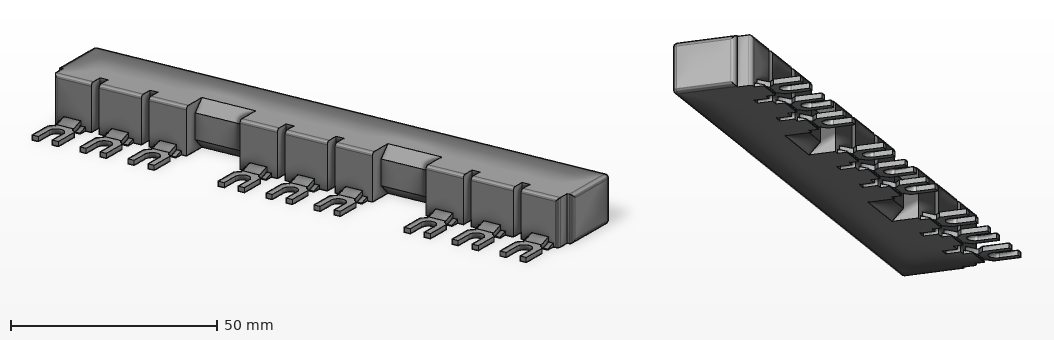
import cadquery as cq


BAR_LENGTH = 149.5
BAR_HEIGHT = 13.0
BODY_FRONT = 3.9
BODY_BACK = 20.3
EDGE_FILLET = 1.0

GROUP_COUNT = 3
GROUP_PITCH = 54.0
PADS_START = 1.5
GROUP_LENGTH = 38.4
SLOT_WIDTH = 2.2
MIDDLE_PAD_WIDTH = 12.3
PAD_FILLET = 0.9
RECESS_BEVEL = 3.0

TERMINAL_PITCH = 13.9
TERMINAL_LENGTH = 12.0
TERMINAL_WIDTH = 7.6
TERMINAL_THICKNESS = 1.3
NECK_WIDTH = 5.0
TONGUE_LENGTH = 3.1
TONGUE_RISE = 1.0
NECK_END = 3.6
FORK_SLOT_WIDTH = 4.0
FORK_SLOT_TOP = 5.1

RAMP_LENGTH = 2.4

group_starts = [PADS_START + i * GROUP_PITCH for i in range(GROUP_COUNT)]
outer_pad_width = (GROUP_LENGTH - MIDDLE_PAD_WIDTH) / 2 - SLOT_WIDTH
pads_end = group_starts[-1] + GROUP_LENGTH
terminal_centers = [
    start + GROUP_LENGTH / 2 + place * TERMINAL_PITCH
    for start in group_starts
    for place in (-1, 0, 1)
]


def box_between(x_range, y_range, z_range):
    """Box given by its lower and upper limits along each axis."""
    (x0, x1), (y0, y1), (z0, z1) = x_range, y_range, z_range
    return cq.Workplane("XY").box(x1 - x0, y1 - y0, z1 - z0, centered=False).translate((x0, y0, z0))


def side_profile(points, x_start, width):
    """Prism along +X from a closed outline of (y, z) points."""
    return cq.Workplane("YZ").polyline(points).close().extrude(width).translate((x_start, 0, 0))


def make_body():
    """Long bar with rounded edges around both ends and along the back."""
    body = box_between((0, BAR_LENGTH), (BODY_FRONT, BODY_BACK), (0, BAR_HEIGHT))
    return body.faces("<X or >X or >Y").edges().fillet(EDGE_FILLET)


def make_pad_strip():
    """Front strip of pads, rounded along the top front edge and down the two front corners."""
    strip = box_between((PADS_START, pads_end), (0, BODY_FRONT + EDGE_FILLET), (0, BAR_HEIGHT))
    front_edges = strip.faces("<Y").edges(">Z or <X or >X")
    return front_edges.fillet(PAD_FILLET)


def make_pad_slots():
    """Cutters for the two slots in each group of pads."""
    slots = cq.Workplane("XY")
    for start in group_starts:
        first = start + outer_pad_width
        for left in (first, first + SLOT_WIDTH + MIDDLE_PAD_WIDTH):
            slots = slots.add(box_between((left, left + SLOT_WIDTH), (0, BODY_FRONT), (0, BAR_HEIGHT)))
    return slots.combine()


def make_group_recess(x_start):
    """Cutter between two groups that also bevels the body edges above and below."""
    bevel_back = BODY_FRONT + RECESS_BEVEL
    outline = [
        (0, 0),
        (bevel_back, 0),
        (BODY_FRONT, RECESS_BEVEL),
        (BODY_FRONT, BAR_HEIGHT - RECESS_BEVEL),
        (bevel_back, BAR_HEIGHT),
        (0, BAR_HEIGHT),
    ]
    return side_profile(outline, x_start, GROUP_PITCH - GROUP_LENGTH)


def make_ramp(x_center):
    """Wedge on the pad face whose slope matches the underside of the tongue."""
    end_height = TONGUE_RISE * (1 - RAMP_LENGTH / TONGUE_LENGTH)
    outline = [(0, 0), (0, TONGUE_RISE), (-RAMP_LENGTH, end_height), (-RAMP_LENGTH, 0)]
    return side_profile(outline, x_center - TERMINAL_WIDTH / 2, TERMINAL_WIDTH)


def make_housing():
    """Bar, pads and ramps as one solid."""
    housing = make_body().union(make_pad_strip()).cut(make_pad_slots())
    for start in group_starts[:-1]:
        housing = housing.cut(make_group_recess(start + GROUP_LENGTH))
    for center in terminal_centers:
        housing = housing.union(make_ramp(center))
    return housing.solids()


def make_terminal(x_center):
    """Fork terminal: a tongue sloping down from the pad face, then a flat two-pronged fork."""
    bent_strip = side_profile(
        [
            (0, TONGUE_RISE),
            (0, TONGUE_RISE + TERMINAL_THICKNESS),
            (-TONGUE_LENGTH, TERMINAL_THICKNESS),
            (-TERMINAL_LENGTH, TERMINAL_THICKNESS),
            (-TERMINAL_LENGTH, 0),
            (-TONGUE_LENGTH, 0),
        ],
        -TERMINAL_WIDTH / 2,
        TERMINAL_WIDTH,
    )
    half_neck = NECK_WIDTH / 2
    half_width = TERMINAL_WIDTH / 2
    half_slot = FORK_SLOT_WIDTH / 2
    shoulder_y = -NECK_END - (half_width - half_neck)
    slot_arc_y = -FORK_SLOT_TOP - half_slot
    plan = (
        cq.Workplane("XY")
        .moveTo(half_neck, 0)
        .lineTo(half_neck, -NECK_END)
        .lineTo(half_width, shoulder_y)
        .lineTo(half_width, -TERMINAL_LENGTH)
        .lineTo(half_slot, -TERMINAL_LENGTH)
        .lineTo(half_slot, slot_arc_y)
        .threePointArc((0, -FORK_SLOT_TOP), (-half_slot, slot_arc_y))
        .lineTo(-half_slot, -TERMINAL_LENGTH)
        .lineTo(-half_width, -TERMINAL_LENGTH)
        .lineTo(-half_width, shoulder_y)
        .lineTo(-half_neck, -NECK_END)
        .lineTo(-half_neck, 0)
        .close()
        .extrude(TONGUE_RISE + TERMINAL_THICKNESS)
    )
    return bent_strip.intersect(plan).solids().translate((x_center, 0, 0))


housing = make_housing()
terminals = [make_terminal(center) for center in terminal_centers]

result = cq.Compound.makeCompound([housing.val(), *(terminal.val() for terminal in terminals)])